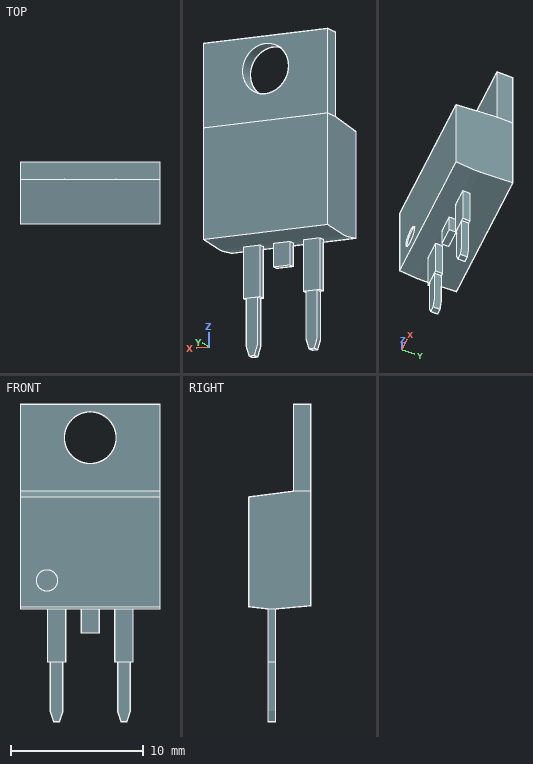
import cadquery as cq

width = 10.54
depth = 4.7
height = 24.0

tab_thickness = 1.32
tab_bottom = 17.42
hole_diameter = 3.9
hole_height = 21.45

front_top = 17.0
back_bottom = 8.75
front_bottom = 8.7
housing_bottom = 8.52

marker_diameter = 1.6
marker_offset = -3.26
marker_height = 10.68
marker_depth = 0.1

lead_pitch = 2.55
lead_back = 2.66
lead_thickness = 0.58
shank_width = 1.4
shoulder_height = 4.5
middle_end_height = 6.7
pin_width = 0.95
pin_end_width = 0.45
taper_height = 0.8


def make_tab():
    """Flat mounting tab standing on the housing, with a through hole."""
    tab_height = height - tab_bottom
    tab = cq.Workplane("XY").box(width, tab_thickness, tab_height, centered=(True, False, False))
    tab = tab.translate((0, -tab_thickness, tab_bottom))
    hole = (
        cq.Workplane("XZ")
        .center(0, hole_height)
        .circle(hole_diameter / 2)
        .extrude(tab_thickness)
    )
    return tab.cut(hole)


def make_housing():
    """Side profile with drafted ends, and a shallow round marker recess."""
    profile = [
        (0, tab_bottom),
        (-tab_thickness, tab_bottom),
        (-depth, front_top),
        (-depth, front_bottom),
        (-lead_back - lead_thickness, housing_bottom),
        (-lead_back, housing_bottom),
        (0, back_bottom),
    ]
    housing = cq.Workplane("YZ").polyline(profile).close().extrude(width / 2, both=True)
    marker = (
        cq.Workplane("XZ", origin=(0, marker_depth - depth, 0))
        .center(marker_offset, marker_height)
        .circle(marker_diameter / 2)
        .extrude(marker_depth)
    )
    return housing.cut(marker)


def make_shank(x, bottom):
    """Wide upper part of a lead, ending against the housing underside."""
    shank = cq.Workplane("XY").box(
        shank_width, lead_thickness, housing_bottom - bottom, centered=(True, False, False)
    )
    return shank.translate((x, -lead_back - lead_thickness, bottom))


def make_pin(x):
    """Narrow lower part of a lead, tapered at its end."""
    outline = [
        (-pin_width / 2, shoulder_height),
        (-pin_width / 2, taper_height),
        (-pin_end_width / 2, 0),
        (pin_end_width / 2, 0),
        (pin_width / 2, taper_height),
        (pin_width / 2, shoulder_height),
    ]
    pin = cq.Workplane("XZ").polyline(outline).close().extrude(lead_thickness)
    return pin.translate((x, -lead_back, 0))


tab = make_tab()
housing = make_housing()
middle_shank = make_shank(0, middle_end_height)

outer_shanks = []
pins = []
for x in (-lead_pitch, lead_pitch):
    outer_shanks.append(make_shank(x, shoulder_height).val())
    pins.append(make_pin(x).val())

result = cq.Compound.makeCompound(
    [tab.val(), housing.val(), middle_shank.val(), *outer_shanks, *pins]
)